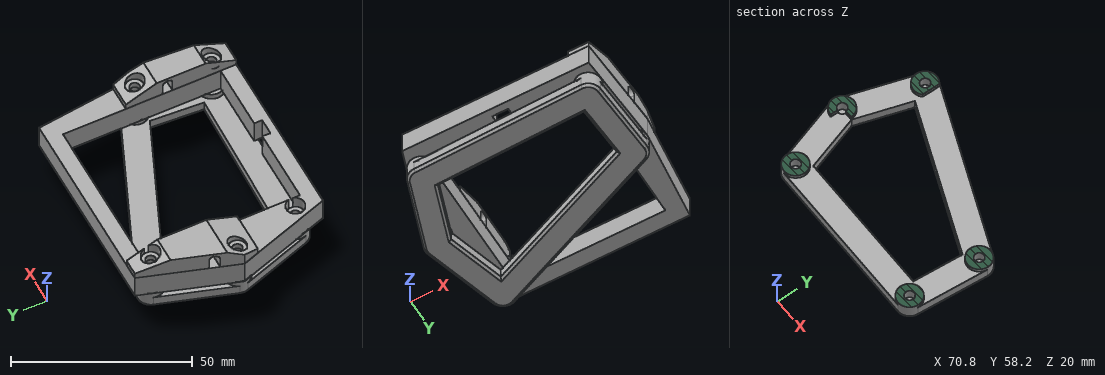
import cadquery as cq
bar_height = 4.0
frame_bottom = 6.0
frame_height = 8.0
saddle_height = 6.0
saddle_end_height = 2.0
frame_top = frame_bottom + frame_height
saddle_top = frame_top + saddle_height
saddle_seat = frame_top + saddle_end_height
corner_seat = frame_top - frame_height / 2

half_length = 35.4
half_width = 58.2 / 2
back_left_x = -26.2
back_right_x = 32.05
front_left_x = -25.6
front_right_x = 33.6
opening_left = -21.15
opening_right = 27.0
opening_half_width = 24.25

notch_center_x = 4.2
notch_width = 5.0
notch_depth = 2.5

saddle_length = 34.0
saddle_ramp_length = 9.5
slot_width = 3.0
slot_height = 5.0
slot_offset_y = 7.9

screw_diameter = 3.0
head_diameter = 5.5
boss_diameter = 8.0
boss_radius = boss_diameter / 2
bracket_chamfer = 0.8
bracket_hole_floor = 2.0

back_left_screw = (-23.85, 23.05)
left_screw = (-31.05, 0.0)
front_left_screw = (-23.85, -21.5)
front_right_screw = (29.85, -22.85)
right_screw = (31.35, 0.0)
screw_loop = [back_left_screw, left_screw, front_left_screw, front_right_screw, right_screw]


def cylinder(point, diameter, bottom, top):
    """Vertical cylinder centred on an (x, y) point."""
    return cq.Workplane("XY", origin=(*point, bottom)).circle(diameter / 2).extrude(top - bottom)


def frame_outline(bottom, height):
    """Solid six-sided prism with the outer shape of the frame."""
    corners = [
        (-half_length, 0),
        (back_left_x, half_width),
        (back_right_x, half_width),
        (half_length, 0),
        (front_right_x, -half_width),
        (front_left_x, -half_width),
    ]
    return cq.Workplane("XY", origin=(0, 0, bottom)).polyline(corners).close().extrude(height)


def make_frame():
    """Six-sided frame with a rectangular opening, a notch and five screw holes."""
    frame = frame_outline(frame_bottom, frame_height)
    opening = (
        cq.Workplane("XY", origin=(0, 0, frame_bottom))
        .moveTo(opening_left, -opening_half_width)
        .lineTo(opening_right, -opening_half_width)
        .lineTo(opening_right, opening_half_width)
        .lineTo(opening_left, opening_half_width)
        .close()
        .extrude(frame_height)
    )
    notch = cq.Workplane("XY").box(notch_width, 2 * notch_depth, frame_height, centered=(True, True, False))
    frame = frame.cut(opening)
    frame = frame.cut(notch.translate((notch_center_x, -opening_half_width, frame_bottom)))
    for point in screw_loop:
        frame = frame.cut(cylinder(point, screw_diameter, frame_bottom, frame_top))
    return frame.cut(cylinder(front_left_screw, head_diameter, corner_seat, frame_top))


def make_saddle(inner_x, outer_x, side, screws):
    """Ramped block on one side rail; side is the Y direction of the frame end that it reaches."""
    outer_end = side * half_width
    inner_end = outer_end - side * saddle_length
    ramp = side * saddle_ramp_length
    profile = [
        (outer_end, frame_top),
        (outer_end, saddle_seat),
        (outer_end - ramp, saddle_top),
        (inner_end + ramp, saddle_top),
        (inner_end, saddle_seat),
        (inner_end, frame_top),
    ]
    reach = outer_x - inner_x
    saddle = cq.Workplane("YZ", origin=(inner_x, 0, 0)).polyline(profile).close().extrude(reach)
    saddle = saddle.intersect(frame_outline(frame_top, saddle_height))

    slot_y = side * slot_offset_y
    arch_start = frame_top + slot_height - slot_width / 2
    slot = (
        cq.Workplane("YZ", origin=(inner_x, 0, 0))
        .moveTo(slot_y - slot_width / 2, frame_top)
        .lineTo(slot_y - slot_width / 2, arch_start)
        .threePointArc((slot_y, frame_top + slot_height), (slot_y + slot_width / 2, arch_start))
        .lineTo(slot_y + slot_width / 2, frame_top)
        .close()
        .extrude(reach)
    )
    saddle = saddle.cut(slot)
    for point in screws:
        saddle = saddle.cut(cylinder(point, screw_diameter, frame_top, saddle_top))
        saddle = saddle.cut(cylinder(point, head_diameter, saddle_seat, saddle_top))
    return saddle


def outward_normal(start, end):
    """Unit vector pointing out of the screw loop, square to the line from start to end."""
    along = (cq.Vector(*end) - cq.Vector(*start)).normalized()
    return cq.Vector(along.y, -along.x)


def corner_arc(index):
    """Start, middle and end of the outer arc around one screw, and the point opposite the middle."""
    before = screw_loop[index - 1]
    point = screw_loop[index]
    after = screw_loop[(index + 1) % len(screw_loop)]
    normal_in = outward_normal(before, point)
    normal_out = outward_normal(point, after)
    middle_direction = (normal_in + normal_out).normalized()
    center = cq.Vector(*point)
    arc_points = [
        center + normal_in * boss_radius,
        center + middle_direction * boss_radius,
        center + normal_out * boss_radius,
        center - middle_direction * boss_radius,
    ]
    return [(p.x, p.y) for p in arc_points]


def make_bar_loop():
    """Closed loop of bars joining the screw positions, each bar as wide as a boss."""
    first_start = corner_arc(0)[0]
    outline = cq.Workplane("XY").moveTo(*first_start)
    for index in range(len(screw_loop)):
        start, middle, end, _ = corner_arc(index)
        if index > 0:
            outline = outline.lineTo(*start)
        outline = outline.threePointArc(middle, end)
    outside = outline.close().extrude(bar_height)
    inside = cq.Workplane("XY").polyline(screw_loop).close().offset2D(-boss_radius).extrude(bar_height)
    return outside.cut(inside).faces("<Z").edges().chamfer(bracket_chamfer)


def make_boss(index):
    """Boss standing on the bars, trimmed on the inner side at two of the screws."""
    point = screw_loop[index]
    start, middle, end, opposite = corner_arc(index)
    boss = (
        cq.Workplane("XY", origin=(0, 0, bar_height))
        .moveTo(*start)
        .threePointArc(middle, end)
        .threePointArc(opposite, start)
        .close()
        .extrude(frame_bottom - bar_height)
    )
    cutter = cq.Workplane("XY").box(boss_diameter, boss_diameter, frame_bottom, centered=False)
    if point == left_screw:
        boss = boss.cut(cutter.translate((point[0], point[1] - boss_diameter, 0)))
    if point == back_left_screw:
        boss = boss.cut(cutter.translate((opening_left, point[1] - boss_radius, 0)))
    return boss


def make_bracket():
    """Bar loop below the frame, with a boss and a blind hole at each screw."""
    bracket = make_bar_loop()
    for index in range(len(screw_loop)):
        bracket = bracket.union(make_boss(index))
    for point in screw_loop:
        bracket = bracket.cut(cylinder(point, screw_diameter, bracket_hole_floor, frame_bottom))
    return bracket


frame = make_frame()
left_saddle = make_saddle(opening_left, -half_length, 1, [back_left_screw, left_screw])
right_saddle = make_saddle(opening_right, half_length, -1, [front_right_screw, right_screw])
bracket = make_bracket()

bodies = [frame, left_saddle, right_saddle, bracket]
result = cq.Compound.makeCompound([solid for body in bodies for solid in body.solids().vals()])